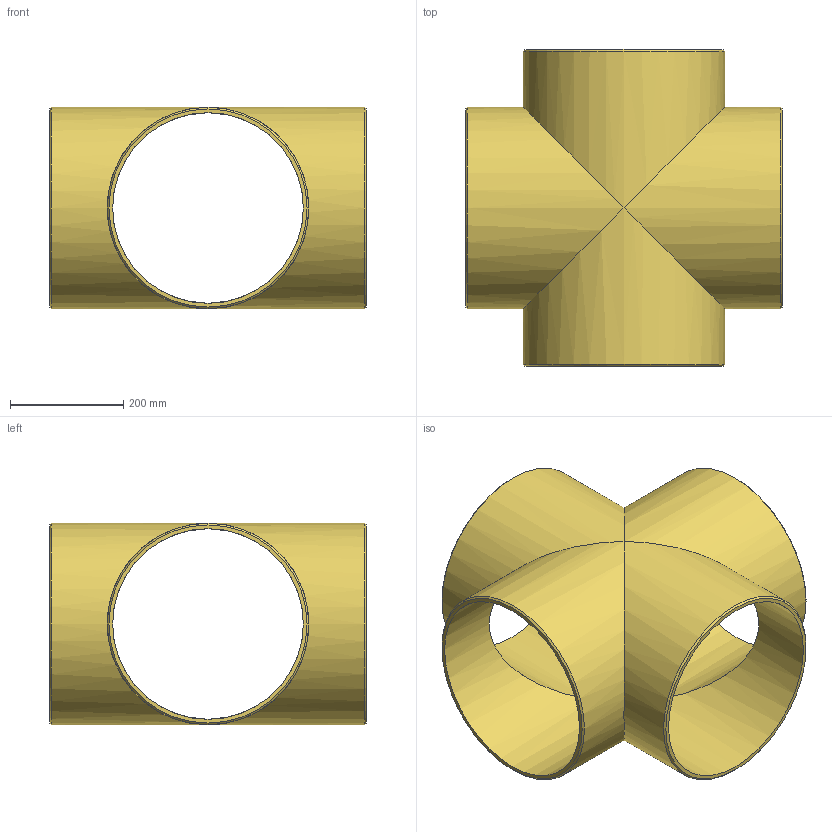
import cadquery as cq

outer_diameter = 355.6
wall = 9.525
end_to_end = 558.8
end_chamfer = 3.0

outer_radius = outer_diameter / 2
inner_radius = outer_radius - wall
half_length = end_to_end / 2


def rod(radius):
    """Solid rod along X, centred on the origin and as long as the fitting."""
    return cq.Workplane("YZ").circle(radius).extrude(half_length, both=True)


def crossed(run):
    """Join a body along X with a copy of itself turned along Y."""
    branch = run.rotate((0, 0, 0), (0, 0, 1), 90)
    return run.union(branch)


chamfered_rod = rod(outer_radius).faces("<X or >X").chamfer(end_chamfer)
outer_cross = crossed(chamfered_rod)
bore_cross = crossed(rod(inner_radius))

result = outer_cross.cut(bore_cross)